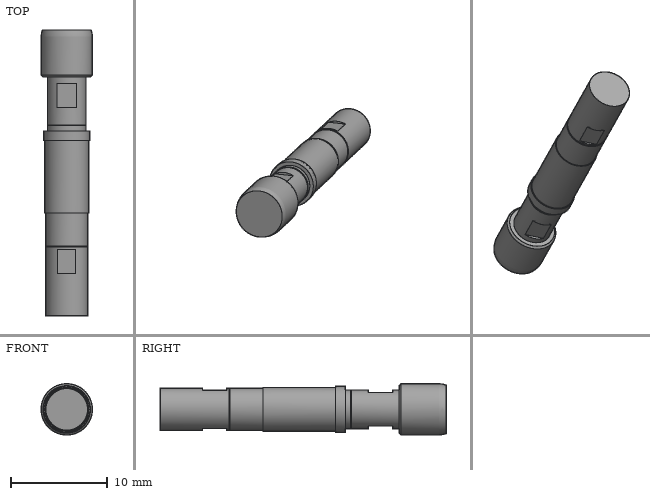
import cadquery as cq

LENGTH = 29.7

shank_radius = 2.2
body_radius = 2.3
collar_radius = 2.4
neck_radius = 2.02
head_radius = 2.67

body_start = 10.65
collar_start = 18.2
collar_end = 19.22
head_start = 24.8

head_chamfer = 0.2
crown_length = 0.75
crown_end_radius = 2.52

shank_groove_start = 7.15
neck_groove_start = 19.75
groove_width = 0.1
groove_depth = 0.045

flat_length = 2.5
shank_flat_start = 4.4
shank_across_flats = 3.98
neck_flat_start = 21.62
neck_across_flats = 3.5


def cylinder(start, end, radius):
    """Round section about the Y axis from start to end."""
    return cq.Workplane("XZ", origin=(0, start, 0)).circle(radius).extrude(start - end)


def make_head():
    """Head chamfered next to the neck and rounded by a tangent arc at its tail."""
    return (
        cq.Workplane("XY")
        .moveTo(0, head_start)
        .lineTo(head_radius - head_chamfer, head_start)
        .lineTo(head_radius, head_start + head_chamfer)
        .lineTo(head_radius, LENGTH - crown_length)
        .tangentArcPoint((crown_end_radius, LENGTH), relative=False)
        .lineTo(0, LENGTH)
        .close()
        .revolve(360, (0, 0, 0), (0, 1, 0))
    )


def make_groove(start, radius):
    """Shallow ring cut around a section of the given radius."""
    end = start + groove_width
    return cylinder(start, end, 2 * radius).cut(cylinder(start, end, radius - groove_depth))


def make_flats(start, radius, across_flats):
    """Two opposite cuts that leave flats square to Z."""
    cutter = cylinder(start, start + flat_length, 2 * radius)
    core = cq.Workplane("XY").box(4 * radius, flat_length, across_flats)
    return cutter.cut(core.translate((0, start + flat_length / 2, 0)))


result = cylinder(0, body_start, shank_radius)
result = result.union(cylinder(body_start, collar_start, body_radius))
result = result.union(cylinder(collar_start, collar_end, collar_radius))
result = result.union(cylinder(collar_end, head_start, neck_radius))
result = result.union(make_head())

for groove_start, radius in ((shank_groove_start, shank_radius), (neck_groove_start, neck_radius)):
    result = result.cut(make_groove(groove_start, radius))

result = result.cut(make_flats(shank_flat_start, shank_radius, shank_across_flats))
result = result.cut(make_flats(neck_flat_start, neck_radius, neck_across_flats))